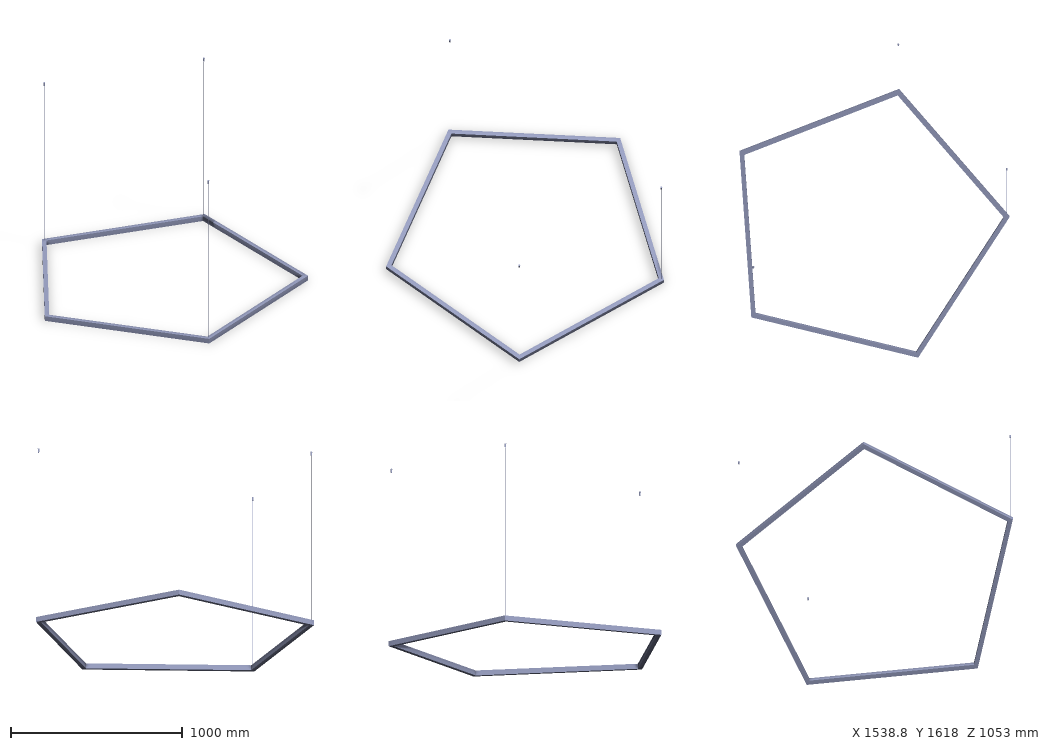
import cadquery as cq
import math

SIDES = 5
SIDE_LENGTH = 1000.0
BAR_WIDTH = 26.2
BAR_HEIGHT = 30.0
WALL = 2.0

CORNER_WIDTH = 15.0
JOINER_WIDTH = 12.5

TOTAL_HEIGHT = 1053.0
HUNG_CORNERS = (0, 2, 3)
WIRE_DIAMETER = 1.2
CAP_DIAMETER = 11.0
CAP_HEIGHT = 2.0
GRIP_DIAMETER = 9.0
GRIP_HEIGHT = 18.0
NOZZLE_DIAMETER = 4.0
NOZZLE_HEIGHT = 5.0

STEP_ANGLE = 360.0 / SIDES
HALF_STEP = math.pi / SIDES
OUTER_RADIUS = SIDE_LENGTH / (2 * math.sin(HALF_STEP))
RADIAL_WIDTH = BAR_WIDTH / math.cos(HALF_STEP)
RADIAL_WALL = WALL / math.cos(HALF_STEP)
INNER_RADIUS = OUTER_RADIUS - RADIAL_WIDTH
HANG_RADIUS = OUTER_RADIUS - RADIAL_WIDTH / 2
JOINER_OFFSET = SIDE_LENGTH / 6
CEILING = BAR_HEIGHT - WALL
WIRE_TOP = TOTAL_HEIGHT - CAP_HEIGHT - GRIP_HEIGHT - NOZZLE_HEIGHT


def turned(part, angle):
    """Part rotated about the ring's Z axis."""
    return part.rotate((0, 0, 0), (0, 0, 1), angle)


def pentagon(corner_radius, height):
    """Solid pentagon standing on the XY plane with one corner on +X."""
    return cq.Workplane("XY").polygon(SIDES, 2 * corner_radius).extrude(height)


def pentagon_ring(outer_radius, inner_radius, height):
    return pentagon(outer_radius, height).cut(pentagon(inner_radius, height))


def radial_block(angle, offset, width):
    """Block that crosses the bar along the direction `angle`, moved sideways by `offset`."""
    outline = cq.Workplane("XY").center(OUTER_RADIUS / 2, offset).rect(OUTER_RADIUS, width)
    return turned(outline.extrude(BAR_HEIGHT), angle)


def section_blocks():
    """Blocks that mark out the corner and joiner sections of the housing."""
    blocks = []
    for corner in range(SIDES):
        corner_angle = corner * STEP_ANGLE
        side_angle = corner_angle + STEP_ANGLE / 2
        blocks.append(radial_block(corner_angle, 0, CORNER_WIDTH))
        for offset in (-JOINER_OFFSET, JOINER_OFFSET):
            blocks.append(radial_block(side_angle, offset, JOINER_WIDTH))
    return blocks


def make_diffuser():
    """Ring that fills the housing's channel, flush with its underside."""
    return pentagon_ring(OUTER_RADIUS - RADIAL_WALL, INNER_RADIUS + RADIAL_WALL, CEILING)


def make_wire_hole():
    """Cutter for the hole through the top of the housing at the +X corner."""
    hole = cq.Workplane("XY", origin=(HANG_RADIUS, 0, CEILING))
    return hole.circle(WIRE_DIAMETER / 2).extrude(WALL)


def make_housing():
    """Channel open at the bottom, fused from flush sections whose face seams are kept."""
    channel = pentagon_ring(OUTER_RADIUS, INNER_RADIUS, BAR_HEIGHT).cut(make_diffuser())
    for corner in HUNG_CORNERS:
        channel = channel.cut(turned(make_wire_hole(), corner * STEP_ANGLE))
    straights = channel
    sections = []
    for block in section_blocks():
        sections.append(channel.intersect(block).val())
        straights = straights.cut(block)
    return cq.Workplane(straights.val().fuse(*sections)).solids()


def make_wire():
    """Wire at the +X corner, from the housing's ceiling up to the grip."""
    wire = cq.Workplane("XY", origin=(HANG_RADIUS, 0, CEILING))
    return wire.circle(WIRE_DIAMETER / 2).extrude(WIRE_TOP - CEILING)


def make_grip():
    """Ceiling grip above the +X corner: nozzle, body and cap."""
    grip = cq.Workplane("XY", origin=(HANG_RADIUS, 0, WIRE_TOP))
    grip = grip.circle(NOZZLE_DIAMETER / 2).extrude(NOZZLE_HEIGHT)
    grip = grip.faces(">Z").workplane().circle(GRIP_DIAMETER / 2).extrude(GRIP_HEIGHT)
    grip = grip.faces(">Z").workplane().circle(CAP_DIAMETER / 2).extrude(CAP_HEIGHT)
    return grip.solids()


housing = make_housing()
diffuser = make_diffuser().solids()

wires = []
grips = []
for corner in HUNG_CORNERS:
    corner_angle = corner * STEP_ANGLE
    wires.append(turned(make_wire(), corner_angle).val())
    grips.append(turned(make_grip(), corner_angle).val())

result = cq.Compound.makeCompound([housing.val(), diffuser.val(), *wires, *grips])